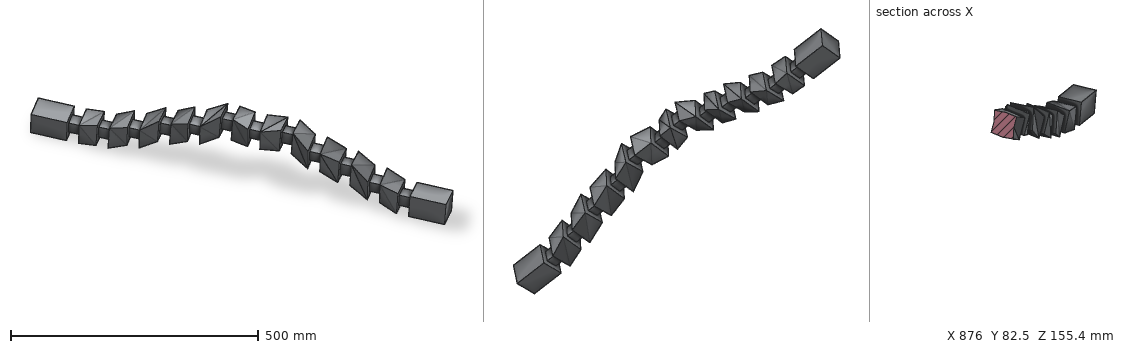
import cadquery as cq
import math

LENGTH = 876.0
MODULES_IN_LENGTH = 34.5
MODULE = LENGTH / MODULES_IN_LENGTH

BAR_LENGTH = MODULE
BAR_SIDE = MODULE
LINK_LENGTH = 1.5 * MODULE
BLOCK_LENGTH = 3 * MODULE
BLOCK_SIDE = 2 * MODULE

BAR_COUNT = 12
WAVE_STEP = 2 * math.pi / BAR_COUNT
WAVE_MEAN = MODULE
WAVE_AMPLITUDE = 2 * MODULE

TILTS_TO_CREST = [5.0, 12.3, 4.0, 13.8, 2.9, 14.5, 2.5]
CREST = len(TILTS_TO_CREST) - 1

CORNER_SIGNS = [(-1, 1), (-1, -1), (1, -1), (1, 1)]


def square_corners(index, x, side):
    """Corners at x of the square section that belongs to one bar, pushed out radially and tilted."""
    tilt = math.radians(TILTS_TO_CREST[CREST - abs(index - CREST)])
    radius = WAVE_MEAN - WAVE_AMPLITUDE * math.cos(index * WAVE_STEP)
    corners = []
    for across_sign, up_sign in CORNER_SIGNS:
        across = across_sign * side / 2
        up = radius + up_sign * side / 2
        y = across * math.cos(tilt) + up * math.sin(tilt)
        z = up * math.cos(tilt) - across * math.sin(tilt)
        corners.append(cq.Vector(x, y, z))
    return corners


def flat_face(points):
    return cq.Face.makeFromWires(cq.Wire.makePolygon(points, close=True))


def prism(index, x_start, length, side):
    """Straight square prism along X."""
    base = flat_face(square_corners(index, x_start, side))
    return cq.Solid.extrudeLinear(base, cq.Vector(length, 0, 0))


def link(index, x_start):
    """Twisted link from the section of one bar to that of the next, each side split into two triangles."""
    left = square_corners(index, x_start, BLOCK_SIDE)
    right = square_corners(index + 1, x_start + LINK_LENGTH, BLOCK_SIDE)
    faces = [flat_face(left), flat_face(right)]
    side_count = len(CORNER_SIGNS)
    for start in range(side_count):
        end = (start + 1) % side_count
        near, far = (start, end) if start % 2 == 0 else (end, start)
        faces.append(flat_face([left[near], left[far], right[far]]))
        faces.append(flat_face([left[near], right[far], right[near]]))
    return cq.Solid.makeSolid(cq.Shell.makeShell(faces))


def build_chain():
    last = BAR_COUNT - 1
    pieces = [prism(0, 0, BLOCK_LENGTH, BLOCK_SIDE)]
    x = BLOCK_LENGTH
    for index in range(BAR_COUNT):
        pieces.append(prism(index, x, BAR_LENGTH, BAR_SIDE))
        x += BAR_LENGTH
        if index < last:
            pieces.append(link(index, x))
            x += LINK_LENGTH
    pieces.append(prism(last, x, BLOCK_LENGTH, BLOCK_SIDE))
    return pieces[0].fuse(*pieces[1:])


result = cq.Workplane(build_chain().Solids()[0])